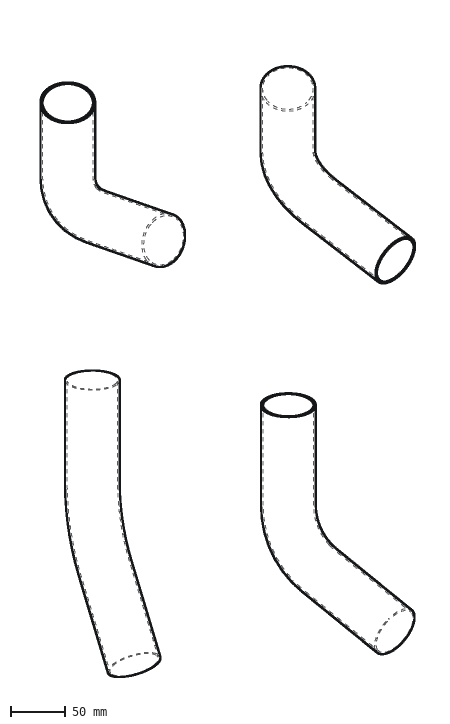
import cadquery as cq
import math

outer_diameter = 50.8
wall_thickness = 2.11
leg_length = 101.6
bend_radius = 101.6
bend_angle = 45.0

inner_diameter = outer_diameter - 2 * wall_thickness


def point_on_bend(angle_degrees):
    """Centreline point (y, z) of the bend, measured from the end of the upper leg."""
    angle = math.radians(angle_degrees)
    return (bend_radius * (1 - math.cos(angle)), -bend_radius * math.sin(angle))


def make_centreline():
    """Vertical leg down to the origin, bend toward +Y, then the sloping leg."""
    bend_end_y, bend_end_z = point_on_bend(bend_angle)
    slope = math.radians(bend_angle)
    lower_end = (
        bend_end_y + leg_length * math.sin(slope),
        bend_end_z - leg_length * math.cos(slope),
    )
    return (
        cq.Workplane("YZ")
        .moveTo(0, leg_length)
        .lineTo(0, 0)
        .threePointArc(point_on_bend(bend_angle / 2), (bend_end_y, bend_end_z))
        .lineTo(*lower_end)
    )


def make_tube():
    """Ring section swept along the centreline, open at both ends."""
    return (
        cq.Workplane("XY", origin=(0, 0, leg_length))
        .circle(outer_diameter / 2)
        .circle(inner_diameter / 2)
        .sweep(make_centreline())
    )


result = make_tube()